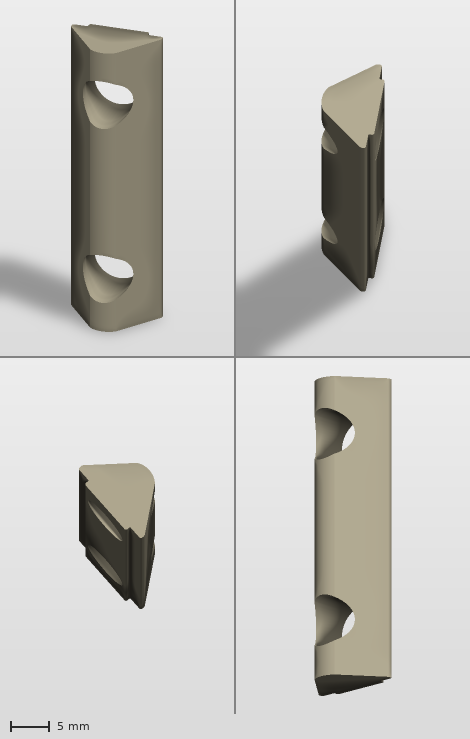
import cadquery as cq

width = 12.3
depth = 7.5
length = 40.0

pad_width = 8.1
pad_height = 0.7
pad_corner_radius = 0.3
shoulder_radius = 0.3

flank_start_depth = 1.4
flank_edge_radius = 0.6
nose_width = 3.5
nose_height = 0.55

hole_diameter = 6.8
hole_spacing = 25.0


def rounded_edges(body, half_width, y, radius):
    """Round the two mirrored lengthwise edges at x = +/-half_width."""
    for x in (-half_width, half_width):
        edge = cq.selectors.NearestToPointSelector((x, y, length / 2))
        body = body.edges("|Z").edges(edge).fillet(radius)
    return body


def make_bar():
    """Extrude the wedge profile, with its rear pad at y = 0 and its nose toward -Y."""
    half_width = width / 2
    half_pad = pad_width / 2
    half_nose = nose_width / 2
    nose_start_y = nose_height - depth
    bar = (
        cq.Workplane("XY")
        .moveTo(-half_pad, 0)
        .lineTo(half_pad, 0)
        .lineTo(half_pad, -pad_height)
        .lineTo(half_width, -pad_height)
        .lineTo(half_width, -flank_start_depth)
        .lineTo(half_nose, nose_start_y)
        .threePointArc((0, -depth), (-half_nose, nose_start_y))
        .lineTo(-half_width, -flank_start_depth)
        .lineTo(-half_width, -pad_height)
        .lineTo(-half_pad, -pad_height)
        .close()
        .extrude(length)
    )
    bar = rounded_edges(bar, half_pad, 0, pad_corner_radius)
    bar = rounded_edges(bar, half_width, -pad_height, shoulder_radius)
    return rounded_edges(bar, half_width, -flank_start_depth, flank_edge_radius)


def make_holes():
    """Two cylinders along Y, spaced evenly about the middle of the bar."""
    return (
        cq.Workplane("XZ")
        .center(0, length / 2)
        .rarray(0.4, hole_spacing, 1, 2)
        .circle(hole_diameter / 2)
        .extrude(depth)
    )


result = make_bar().cut(make_holes())